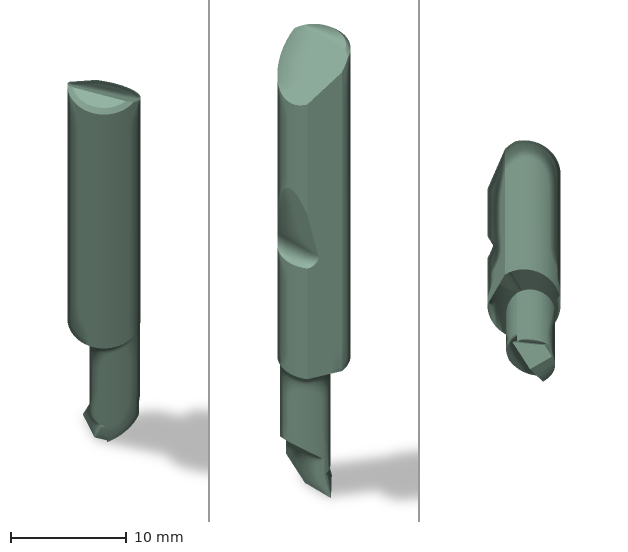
import cadquery as cq
import math

total_length = 50.8
shank_radius = 3.175
shank_bottom = 15.25
shank_length = total_length - shank_bottom
top_chamfer = 0.4
side_flat_angle = 150.0
side_flat_distance = shank_radius * math.cos(math.radians(30))
top_bevel_y = -1.35

notch_bottom = 27.9
notch_slope = 10.0
notch_depth = 1.3
notch_radius = 0.95

neck_radius = 2.2
neck_x = shank_radius - neck_radius
back_radius = 2.55
back_center_y = -0.35
neck_overlap = 0.5
rake_runout_z = 4.05

tooth_height = 2.25
tooth_tip_x = -1.95
tooth_root_x = neck_x - neck_radius
flank_relief = 1.7
end_relief = 0.2
heel_rise = 0.1

cutter_size = 20.3


def make_shank():
    shank = (
        cq.Workplane("XY")
        .workplane(offset=shank_bottom)
        .circle(shank_radius)
        .extrude(shank_length)
        .faces(">Z")
        .chamfer(top_chamfer)
    )
    side_flat = (
        cq.Workplane("XY")
        .box(cutter_size, cutter_size, 3 * total_length)
        .translate((side_flat_distance + cutter_size / 2, 0, 0))
        .rotate((0, 0, 0), (0, 0, 1), side_flat_angle)
    )
    bevel = (
        cq.Workplane("YZ")
        .moveTo(top_bevel_y, total_length)
        .lineTo(top_bevel_y + cutter_size, total_length)
        .lineTo(top_bevel_y + cutter_size, total_length - cutter_size)
        .close()
        .extrude(cutter_size / 2, both=True)
    )
    return shank.cut(side_flat).cut(bevel).cut(make_notch())


def make_notch():
    slope = math.radians(notch_slope)
    arc_center_y = shank_radius - notch_depth + notch_radius
    arc_center_z = notch_bottom + notch_radius
    tangent_angle = math.pi - slope
    bottom_angle = 1.5 * math.pi
    middle_angle = (tangent_angle + bottom_angle) / 2
    mouth_y = shank_radius + notch_depth

    def arc_point(angle):
        return (
            arc_center_y + notch_radius * math.cos(angle),
            arc_center_z + notch_radius * math.sin(angle),
        )

    tangent_y, tangent_z = arc_point(tangent_angle)
    mouth_z = tangent_z + (mouth_y - tangent_y) / math.tan(slope)
    return (
        cq.Workplane("YZ")
        .moveTo(mouth_y, mouth_z)
        .lineTo(tangent_y, tangent_z)
        .threePointArc(arc_point(middle_angle), arc_point(bottom_angle))
        .lineTo(mouth_y, notch_bottom)
        .close()
        .extrude(cutter_size / 2, both=True)
    )


def make_neck():
    neck = (
        cq.Workplane("XY")
        .center(neck_x, 0)
        .circle(neck_radius)
        .extrude(shank_bottom + neck_overlap)
    )
    back_reach = math.sqrt(back_radius**2 - back_center_y**2)
    back_limit = (
        cq.Workplane("XY")
        .center(neck_x - neck_radius + back_reach, back_center_y)
        .circle(back_radius)
        .extrude(shank_bottom + neck_overlap)
    )
    front_limit = (
        cq.Workplane("XY")
        .rect(cutter_size, cutter_size)
        .extrude(shank_bottom + neck_overlap)
        .translate((0, -cutter_size / 2, 0))
    )
    neck = neck.intersect(back_limit.union(front_limit))
    rake_relief = (
        cq.Workplane("YZ")
        .moveTo(0, 0)
        .lineTo(0, rake_runout_z)
        .lineTo(neck_radius * 2, rake_runout_z + neck_radius * 2)
        .lineTo(neck_radius * 2, 0)
        .close()
        .extrude(cutter_size / 2, both=True)
    )
    tip_trim = (
        cq.Workplane("XZ")
        .moveTo(-cutter_size, tooth_height)
        .lineTo(neck_x, tooth_height)
        .lineTo(neck_x, tooth_height - neck_radius)
        .lineTo(shank_radius, tooth_height)
        .lineTo(shank_radius + neck_radius, tooth_height)
        .lineTo(shank_radius + neck_radius, -tooth_height)
        .lineTo(-cutter_size, -tooth_height)
        .close()
        .extrude(cutter_size / 2, both=True)
    )
    return neck.cut(rake_relief).cut(tip_trim)


def make_tooth():
    flank_slope = (tooth_root_x - tooth_tip_x) / tooth_height
    front_root_x = tooth_root_x + flank_relief
    heel_slope = heel_rise / (neck_x - tooth_tip_x)
    front_tip_z = end_relief + heel_slope * flank_relief
    front_tip_x = tooth_tip_x + flank_relief + flank_slope * front_tip_z
    return (
        cq.Workplane("XZ")
        .polyline([
            (tooth_root_x, tooth_height),
            (tooth_tip_x, 0),
            (neck_x, heel_rise),
            (neck_x, tooth_height),
        ])
        .close()
        .workplane(offset=neck_radius)
        .polyline([
            (front_root_x, tooth_height),
            (front_tip_x, front_tip_z),
            (neck_x, end_relief + heel_rise),
            (neck_x, tooth_height),
        ])
        .close()
        .loft(ruled=True, combine=True)
    )


result = make_shank().union(make_neck()).union(make_tooth())